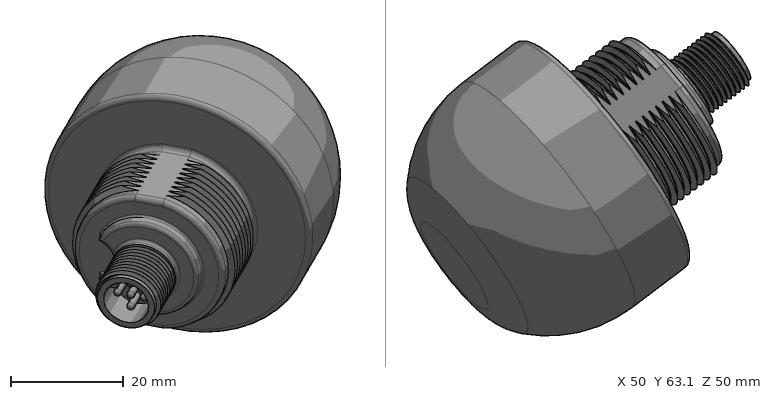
import cadquery as cq
import math


TOTAL_LENGTH = 63.1

DOME_RADIUS = 25.0
DOME_HEIGHT = 34.1
DOME_WALL_HEIGHT = 12.95
CROWN_RADIUS = 11.0
RIM_FILLET = 1.0

NECK_ROOT_RADIUS = 14.0
NECK_LENGTH = 16.0
NECK_FLAT_OFFSET = 13.75
NECK_FILLET = 1.0
NECK_CREST_RADIUS = 15.0
NECK_THREAD_START = 2.0
NECK_THREAD_LENGTH = 12.0
NECK_THREAD_TURNS = 8
NECK_PITCH = NECK_THREAD_LENGTH / NECK_THREAD_TURNS

COLLAR_BASE_RADIUS = 10.0
COLLAR_TOP_RADIUS = 9.65
COLLAR_HEIGHT = 2.0
COLLAR_TOP_FILLET = 0.75
COLLAR_BASE_FILLET = 0.4
NOTCH_OFFSET = 10.3
NOTCH_BASE_RADIUS = 4.2
NOTCH_TOP_RADIUS = 4.5
COLLAR_TIP_OFFSET = 8.85

SHOULDER_RADIUS = 6.0
SHOULDER_LENGTH = 1.15
SHOULDER_FILLET = 0.5
PLUG_ROOT_RADIUS = 5.3
PLUG_CREST_RADIUS = 6.0
PLUG_THREAD_START = 19.4
PLUG_THREAD_LENGTH = 8.85
PLUG_THREAD_TURNS = 8.9
PLUG_PITCH = PLUG_THREAD_LENGTH / PLUG_THREAD_TURNS
TIP_LAND_LENGTH = 0.8
TIP_Z = TOTAL_LENGTH - DOME_HEIGHT

BORE_RADIUS = 4.15
BORE_DEPTH = 6.3
PIN_RADIUS = 0.7
PIN_SPACING = 2.45
PIN_RECESS = 2.0
KEY_HALF_WIDTH = 0.75
KEY_INNER_RADIUS = 2.85
KEY_RECESS = 1.0
KEY_ANGLE = 135

COLLAR_TOP_Z = NECK_LENGTH + COLLAR_HEIGHT
SHOULDER_TOP_Z = COLLAR_TOP_Z + SHOULDER_LENGTH
BORE_FLOOR_Z = TIP_Z - BORE_DEPTH

THREAD_EMBED = 0.05
THREAD_FILL = 0.92

OVERLAP = 0.6

SELECT_MARGIN = 0.05


def cylinder(radius, bottom, top):
    return cq.Workplane("XY").workplane(offset=bottom).circle(radius).extrude(top - bottom)


def cone(bottom_radius, top_radius, bottom, top):
    return cq.Workplane(cq.Solid.makeCone(
        bottom_radius, top_radius, top - bottom, pnt=cq.Vector(0, 0, bottom)))


def thread_ridge(root_radius, crest_radius, pitch, start, turns):
    """Right-hand V ridge that starts on the -Y side, slightly sunk into its core."""
    inner_radius = root_radius - THREAD_EMBED
    half_base = THREAD_FILL * pitch / 2
    helix = cq.Wire.makeHelix(pitch, turns * pitch, inner_radius)
    ridge = (
        cq.Workplane("XZ")
        .moveTo(inner_radius, -half_base)
        .lineTo(crest_radius, 0)
        .lineTo(inner_radius, half_base)
        .close()
        .sweep(cq.Workplane(helix), isFrenet=True)
    )
    return ridge.rotate((0, 0, 0), (0, 0, 1), -90).translate((0, 0, start))


def make_dome():
    """Straight wall, then a spherical part, then a crown arc tangent to it and to the flat top."""
    sphere_z = -DOME_WALL_HEIGHT
    crown_z = -DOME_HEIGHT + CROWN_RADIUS
    centre_distance = DOME_RADIUS - CROWN_RADIUS
    crown_angle = math.asin((sphere_z - crown_z) / centre_distance)
    crown_x = centre_distance * math.cos(crown_angle)

    def on_sphere(angle):
        return DOME_RADIUS * math.cos(angle), sphere_z - DOME_RADIUS * math.sin(angle)

    middle_angle = (crown_angle + math.pi / 2) / 2
    crown_middle = (
        crown_x + CROWN_RADIUS * math.cos(middle_angle),
        crown_z - CROWN_RADIUS * math.sin(middle_angle),
    )
    return (
        cq.Workplane("XZ")
        .moveTo(0, 0)
        .lineTo(DOME_RADIUS, 0)
        .lineTo(DOME_RADIUS, sphere_z)
        .threePointArc(on_sphere(crown_angle / 2), on_sphere(crown_angle))
        .threePointArc(crown_middle, (crown_x, -DOME_HEIGHT))
        .lineTo(0, -DOME_HEIGHT)
        .close()
        .revolve(360, (0, 0, 0), (0, 1, 0))
        .faces(">Z").edges().fillet(RIM_FILLET)
    )


def between_flats(body):
    """Keep what lies between the two neck flats."""
    block = cq.Workplane("XY").box(
        2 * DOME_RADIUS, 2 * NECK_FLAT_OFFSET, NECK_LENGTH, centered=(True, True, False))
    return body.intersect(block)


def make_neck():
    """Thread core with two opposite flats and a rounded end."""
    core = between_flats(cylinder(NECK_ROOT_RADIUS, 0, NECK_LENGTH))
    return core.faces(">Z").edges().fillet(NECK_FILLET)


def make_collar():
    """Tapered ring with a round notch on the -X side; the two horns beside it end in flats."""
    ring = cone(COLLAR_BASE_RADIUS, COLLAR_TOP_RADIUS, NECK_LENGTH, COLLAR_TOP_Z)
    notch = cone(NOTCH_BASE_RADIUS, NOTCH_TOP_RADIUS, NECK_LENGTH, COLLAR_TOP_Z)
    horn_trim = (
        cq.Workplane("XY")
        .workplane(offset=NECK_LENGTH)
        .center(-COLLAR_TIP_OFFSET - COLLAR_BASE_RADIUS, 0)
        .rect(2 * COLLAR_BASE_RADIUS, 2 * COLLAR_BASE_RADIUS)
        .extrude(COLLAR_HEIGHT)
    )
    collar = ring.cut(notch.translate((-NOTCH_OFFSET, 0, 0))).cut(horn_trim)
    return collar.faces(">Z").edges().fillet(COLLAR_TOP_FILLET)


def make_key():
    """Coding rib on the bore wall, with a pointed inner edge."""
    flank_radius = KEY_INNER_RADIUS + KEY_HALF_WIDTH
    outer_radius = (BORE_RADIUS + PLUG_ROOT_RADIUS) / 2
    return (
        cq.Workplane("XY")
        .workplane(offset=BORE_FLOOR_Z)
        .moveTo(KEY_INNER_RADIUS, 0)
        .lineTo(flank_radius, KEY_HALF_WIDTH)
        .lineTo(outer_radius, KEY_HALF_WIDTH)
        .lineTo(outer_radius, -KEY_HALF_WIDTH)
        .lineTo(flank_radius, -KEY_HALF_WIDTH)
        .close()
        .extrude(BORE_DEPTH - KEY_RECESS)
        .rotate((0, 0, 0), (0, 0, 1), KEY_ANGLE)
    )


def make_pin(x, y):
    """Round-ended pin standing on the bore floor."""
    shaft_top = TIP_Z - PIN_RECESS - PIN_RADIUS
    shaft = cylinder(PIN_RADIUS, BORE_FLOOR_Z - OVERLAP, shaft_top)
    tip = cq.Workplane("XY").sphere(PIN_RADIUS).translate((0, 0, shaft_top))
    return shaft.union(tip).translate((x, y, 0))


def fillet_foot(body, foot_radius, z, fillet_radius):
    """Round the edges lying at height z within foot_radius of the axis."""
    reach = foot_radius + SELECT_MARGIN
    foot = cq.selectors.BoxSelector(
        (-reach, -reach, z - SELECT_MARGIN), (reach, reach, z + SELECT_MARGIN), boundingbox=True)
    return body.edges(foot).fillet(fillet_radius)


body = make_dome().union(make_neck())
body = fillet_foot(body, NECK_ROOT_RADIUS, 0, NECK_FILLET)
body = body.union(make_collar())
body = fillet_foot(body, COLLAR_BASE_RADIUS, NECK_LENGTH, COLLAR_BASE_FILLET)
body = body.union(cylinder(SHOULDER_RADIUS, NECK_LENGTH - OVERLAP, SHOULDER_TOP_Z))
body = fillet_foot(body, SHOULDER_RADIUS, COLLAR_TOP_Z, SHOULDER_FILLET)
body = body.union(cylinder(PLUG_ROOT_RADIUS, COLLAR_TOP_Z, TIP_Z))

body = body.cut(cylinder(BORE_RADIUS, BORE_FLOOR_Z, TIP_Z)).union(make_key())
pin_places = [(0, 0), (PIN_SPACING, 0), (-PIN_SPACING, 0), (0, PIN_SPACING), (0, -PIN_SPACING)]
for x, y in pin_places:
    body = body.union(make_pin(x, y))

neck_thread = thread_ridge(
    NECK_ROOT_RADIUS, NECK_CREST_RADIUS, NECK_PITCH, NECK_THREAD_START, NECK_THREAD_TURNS)
plug_thread = thread_ridge(
    PLUG_ROOT_RADIUS, PLUG_CREST_RADIUS, PLUG_PITCH, PLUG_THREAD_START, PLUG_THREAD_TURNS)
thread_zone = cylinder(SHOULDER_RADIUS + OVERLAP, COLLAR_TOP_Z, TIP_Z - TIP_LAND_LENGTH)
body = body.union(between_flats(neck_thread)).union(plug_thread.intersect(thread_zone))

result = body.rotate((0, 0, 0), (1, 0, 0), 90)